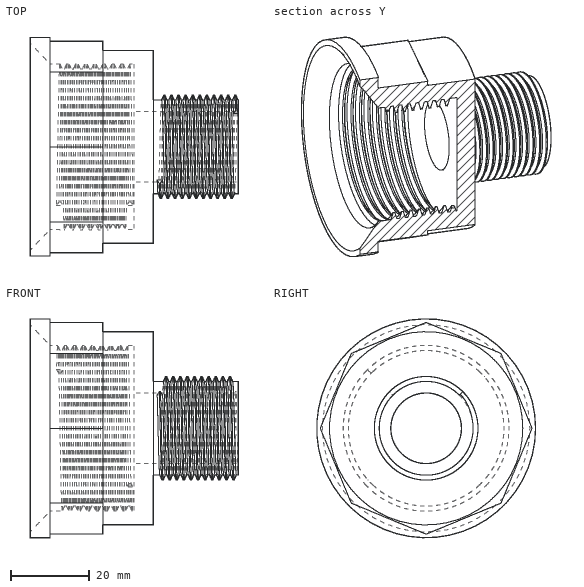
import cadquery as cq
import math

total_length = 53.2
flange_diameter = 56.0
flange_length = 5.1
octagon_across_flats = 50.0
octagon_end = 18.6
octagon_sides = 8
octagon_across_corners = octagon_across_flats / math.cos(math.pi / octagon_sides)
body_diameter = 49.4
body_end = 31.5

nipple_minor_diameter = 24.0
nipple_major_diameter = 26.5
nipple_pitch = 1.814
nipple_thread_start = body_end + 1.66
nipple_thread_turns = 10.75
nipple_crest_width = 0.3
nipple_root_width = 1.4
bore_diameter = 18.0

mouth_diameter = 53.0
mouth_depth = 5.1
socket_major_diameter = 42.4
socket_minor_diameter = 39.8
socket_depth = 26.5
socket_pitch = 2.309
socket_thread_start = mouth_depth + 2.5
socket_thread_turns = 7.75
socket_crest_width = 0.5
socket_root_width = 1.7

thread_start_angle = 225.0
thread_embed = 0.2


def cylinder(diameter, start, end):
    """Solid cylinder about the X axis between two X positions."""
    return cq.Workplane("YZ").workplane(offset=start).circle(diameter / 2).extrude(end - start)


def octagon(start, end):
    """Octagonal wrench section with corners on the Y and Z axes."""
    return (
        cq.Workplane("YZ")
        .workplane(offset=start)
        .polygon(octagon_sides, octagon_across_corners)
        .extrude(end - start)
    )


def thread_ridge(root_diameter, crest_diameter, pitch, turns, root_width, crest_width, start, left_handed):
    """Helical ridge about X; its first cross-section is centred at X = start."""
    root_radius = root_diameter / 2
    crest_radius = crest_diameter / 2
    outward = 1 if crest_radius > root_radius else -1
    sunk_radius = root_radius - outward * thread_embed
    flank_slope = (root_width - crest_width) / abs(crest_radius - root_radius)
    sunk_width = root_width + flank_slope * thread_embed
    profile = [
        (sunk_radius, -sunk_width / 2),
        (crest_radius, -crest_width / 2),
        (crest_radius, crest_width / 2),
        (sunk_radius, sunk_width / 2),
    ]
    helix = cq.Wire.makeHelix(pitch, pitch * turns, root_radius, lefthand=left_handed)
    ridge = cq.Workplane("XZ").polyline(profile).close().sweep(helix, isFrenet=True)
    return (
        ridge.rotate((0, 0, 0), (0, 0, 1), thread_start_angle)
        .rotate((0, 0, 0), (0, 1, 0), 90)
        .translate((start, 0, 0))
    )


def socket_cavity():
    """Conical mouth followed by the plain socket bore."""
    outline = [
        (0, 0),
        (0, mouth_diameter / 2),
        (mouth_depth, socket_major_diameter / 2),
        (socket_depth, socket_major_diameter / 2),
        (socket_depth, 0),
    ]
    return cq.Workplane("XY").polyline(outline).close().revolve(360, (0, 0, 0), (1, 0, 0))


def outer_body():
    """Flange, octagon and round body."""
    return (
        cylinder(flange_diameter, 0, flange_length)
        .union(octagon(flange_length, octagon_end))
        .union(cylinder(body_diameter, octagon_end, body_end))
    )


def threaded_nipple():
    """Nipple threaded on an overlong blank, then faced off so the last turn ends flush."""
    blank_end = total_length + 2 * nipple_pitch
    blank = cylinder(nipple_minor_diameter, body_end, blank_end)
    ridge = thread_ridge(
        nipple_minor_diameter,
        nipple_major_diameter,
        nipple_pitch,
        nipple_thread_turns,
        nipple_root_width,
        nipple_crest_width,
        nipple_thread_start,
        left_handed=False,
    )
    waste = cylinder(flange_diameter, total_length, blank_end + nipple_pitch)
    return blank.union(ridge).cut(waste)


def socket_thread():
    """Internal thread standing inward from the socket wall."""
    return thread_ridge(
        socket_major_diameter,
        socket_minor_diameter,
        socket_pitch,
        socket_thread_turns,
        socket_root_width,
        socket_crest_width,
        socket_thread_start,
        left_handed=True,
    )


socket_body = outer_body().cut(socket_cavity()).union(socket_thread())
bore = cylinder(bore_diameter, 0, total_length)
result = socket_body.union(threaded_nipple()).cut(bore)